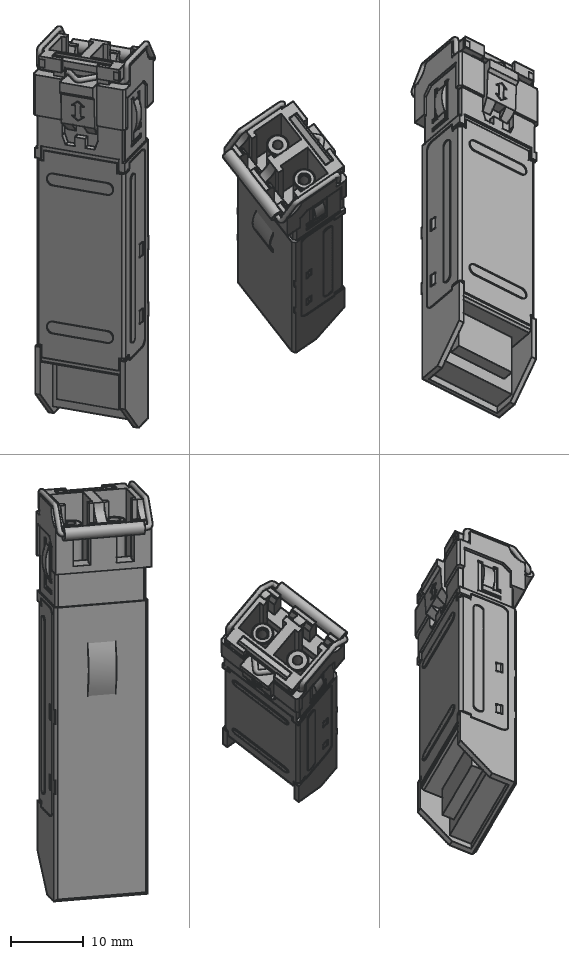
import cadquery as cq
import math


CAGE_HALF = 6.7
CAGE_BACK = 8.72
CAGE_TOP = 42.35
NECK_HALF = 6.5
NECK_FRONT = -0.12
NECK_BACK = 8.4
NECK_SIDE_FRONT = 0.56
NECK_FRONT_HALF = 6.32
HEAD_HALF = 6.85
HEAD_FRONT = -0.46
HEAD_BACK = 9.85
HEAD_BOTTOM = 47.5
HEAD_TOP = 56.6
EDGE_CHAMFER = 0.4

COVER_HALF = 6.6
COVER_BEND = 0.45
COVER_THICK = 0.2
COVER_TOP = 42.1
COVER_BOTTOM = 10.6
COVER_TONGUE_TOP = 5.45
COVER_TONGUE_BOTTOM = 5.76
BEND_TOP = 40.55
BEND_BOTTOM = 12.5
COVER_GAP = 0.35
FLAP_BACK = 7.32
FLAP_FRONT = 1.66
FLAP_TOP = 41.7
FLAP_BOTTOM = 11.7
FLAP_RADIUS = 1.1
RIB_HEIGHT = 0.15
CATCH_HEIGHTS = (16.5, 26.6)

RAIL_INNER = 5.92
PLUG_FLOOR = 4.5
PLUG_TOP = 10.2
PLUG_SLOPE = 0.55
PLUG_STEP_TOP = 1.2
PLUG_BACK_WALL = 7.8
NOSE_CUT_Y = 4.84
NOSE_CUT_Z = 4.95
BOARD_HALF = 4.6
BOARD_BOTTOM = 3.3
BOARD_FRONT = 2.75

PORT_X = 3.1
PORT_HALF = 2.35
PORT_NECK_HALF = 1.7
PORT_LATCH_HALF = 1.25
PORT_FRONT = 1.96
PORT_NECK = 6.57
PORT_BACK = 8.43
PORT_LEAD_IN = 0.55
PORT_FLOOR = 46.0
LATCH_FLOOR = 48.5
PORT_SHOULDER = 7.4
SCOOP_BACK = 9.2
SCOOP_FLOOR = 54.2
SCOOP_MIDDLE = (7.95, 55.15)
POST_Y = 4.25
POST_RADIUS = 1.53
POST_CHAMFER = 0.15
POST_TOP = 53.0

CHANNEL_HALF = 2.65
CHANNEL_FLOOR = 0.17
CHANNEL_TAPER_Z = 45.0
CHANNEL_BOTTOM = 43.65
CHANNEL_BOTTOM_HALF = 2.15
TONGUE_HALF = 0.78
TONGUE_TOP = 45.05
PRONG_POCKET_FLOOR = 0.8
SLIDER_HALF = 2.48
SLIDER_FRONT = -1.46
SLIDER_FACE = -1.0
SLIDER_FACE_LOW = -0.8
SLIDER_TOP = 53.65
SLIDER_STEP = 52.15
SLIDER_BOTTOM = 47.2
PRONG_BOTTOM = 45.7
PRONG_INNER = 0.85
PRONG_TAPER = 0.35
ARROW_DEPTH = 0.1
ARROW_Z = 49.45

GROOVE_BOTTOM = SLIDER_TOP
GROOVE_TOP = 54.66
GROOVE_DEPTH_Y = 0.3
BLOCK_HALF = 5.95
NOTCH_BACK = 1.47
NOTCH_INNER = 4.1
WIRE_RADIUS = 0.39
WIRE_TOP = 57.35
WIRE_X = 6.47
WIRE_LEG_Y = 1.0
WIRE_FRONT_Z = 54.2
WIRE_BEND_Y = 8.2
WIRE_BEND_RADIUS = 0.5
BAR_Y = 10.62
BAR_Z = 53.5
BAR_RADIUS = 0.92
BAR_LEFT = -5.45
BAR_RIGHT = 6.0
V_HALF = 2.0
V_TIP_Y = -1.05

ARM_PEAK = 7.01
ARM_BOTTOM = 45.4
ARM_TOP = 50.2
ARM_Y = (3.5, 5.15)
SLOT_DEPTH = 0.25

SPRING_Z = (29.1, 37.1)
SPRING_RISE = 0.65
SPRING_THICK = 0.15
SPRING_HALF = 2.0

FAR = 20.0
SIDES = (-1, 1)


def block(x, y, z):
    """Box between the (low, high) pairs in X, Y and Z."""
    size = [high - low for low, high in (x, y, z)]
    return cq.Workplane("XY").box(*size, centered=False).translate((x[0], y[0], z[0]))


def side_block(side, x, y, z):
    """Box whose X range is measured outwards from the centre plane on one side."""
    near, far = sorted((side * x[0], side * x[1]))
    return block((near, far), y, z)


def front_prism(points, y):
    """X-Z outline extruded between two Y values."""
    return cq.Workplane("XZ", origin=(0, y[0], 0)).polyline(points).close().extrude(y[0] - y[1])


def side_prism(points, x):
    """Y-Z outline extruded between two X values."""
    return cq.Workplane("YZ", origin=(x[0], 0, 0)).polyline(points).close().extrude(x[1] - x[0])


def mirrored(half):
    """Close a right-hand outline by its mirror image."""
    return half + [(-x, z) for x, z in reversed(half)]


def rod(start, end, radius):
    """Round rod between two points."""
    a, b = cq.Vector(*start), cq.Vector(*end)
    return cq.Workplane(cq.Solid.makeCylinder(radius, (b - a).Length, a, b - a))


def cage():
    body = block((-CAGE_HALF, CAGE_HALF), (COVER_THICK, CAGE_BACK), (0, CAGE_TOP))
    body = body.edges("|Z and >Y").chamfer(EDGE_CHAMFER)
    body = body.edges(">Y and <Z").chamfer(EDGE_CHAMFER)

    for side in SIDES:
        body = body.union(side_block(side, (RAIL_INNER, CAGE_HALF), (0, COVER_THICK),
                                     (0, BEND_BOTTOM - COVER_GAP)))
        body = body.union(side_block(side, (COVER_TONGUE_TOP + COVER_GAP, CAGE_HALF),
                                     (NECK_FRONT, COVER_THICK), (BEND_TOP + COVER_GAP, CAGE_TOP)))
    nose = [(-1, NOSE_CUT_Z + 1), (NOSE_CUT_Y + 1, -1), (-1, -1)]
    body = body.cut(side_prism(nose, (-FAR, FAR)))
    return cut_plug_end(body)


def cut_plug_end(body):
    plug_ceiling = PLUG_TOP - PLUG_SLOPE
    recess = [(-1, PLUG_STEP_TOP), (PLUG_FLOOR, PLUG_STEP_TOP), (PLUG_FLOOR, plug_ceiling),
              (PLUG_SLOPE, plug_ceiling), (0, PLUG_TOP), (-1, PLUG_TOP)]
    body = body.cut(side_prism(recess, (-RAIL_INNER, RAIL_INNER)))
    body = body.cut(block((-RAIL_INNER, RAIL_INNER), (-1, PLUG_BACK_WALL), (-1, PLUG_STEP_TOP)))
    return body.union(block((-BOARD_HALF, BOARD_HALF), (BOARD_FRONT, PLUG_FLOOR),
                            (BOARD_BOTTOM, plug_ceiling)))


def add_cover(body):
    outline = mirrored([
        (COVER_TONGUE_BOTTOM, COVER_BOTTOM), (COVER_TONGUE_BOTTOM, BEND_BOTTOM),
        (COVER_HALF, BEND_BOTTOM), (COVER_HALF, BEND_TOP),
        (COVER_TONGUE_TOP, BEND_TOP), (COVER_TONGUE_TOP, COVER_TOP)])
    body = body.union(front_prism(outline, (0, COVER_THICK)))

    for side in SIDES:
        flap = side_block(side, (COVER_HALF, FAR), (FLAP_FRONT, FLAP_BACK), (FLAP_BOTTOM, FLAP_TOP))
        flap = flap.edges("|X and >Y").fillet(FLAP_RADIUS)
        flap = flap.union(side_block(side, (COVER_HALF, FAR), (-1, FLAP_FRONT), (BEND_BOTTOM, BEND_TOP)))
        body = body.cut(flap)
        for z in (BEND_BOTTOM - COVER_GAP, BEND_TOP):
            gap = side_block(side, (COVER_HALF - COVER_THICK, FAR), (-1, FLAP_FRONT), (z, z + COVER_GAP))
            body = body.cut(gap)
        bend = cq.Workplane("XY", origin=(0, 0, BEND_BOTTOM)).polyline([
            (side * (COVER_HALF - COVER_BEND), 0), (side * CAGE_HALF, 0), (side * CAGE_HALF, COVER_BEND),
            (side * COVER_HALF, COVER_BEND)]).close().extrude(BEND_TOP - BEND_BOTTOM)
        body = body.cut(bend)
    return add_cover_details(body)


def add_cover_details(body):
    rib_length, rib_width, rib_heights = 9.85, 1.8, (15.5, 38.0)
    for z in rib_heights:
        rib = cq.Workplane("XZ", origin=(0, 0, z)).slot2D(rib_length, rib_width).extrude(RIB_HEIGHT)
        body = body.union(rib)
    side_rib_length, side_rib_width, side_rib_y, side_rib_z = 25.6, 1.5, 2.8, 26.7
    for side in SIDES:
        rib = (cq.Workplane("YZ", origin=(side * COVER_HALF, side_rib_y, side_rib_z))
               .slot2D(side_rib_length, side_rib_width, 90).extrude(side * RIB_HEIGHT))
        body = body.union(rib)
        for z in CATCH_HEIGHTS:
            body = add_catch(body, side, z)
    return body


def add_catch(body, side, z):
    """Window with a ramped catch in a side flap, and the hook behind it on the back corner."""
    half_height = 1.0
    window_front, ramp_back, catch_back = 5.5, 6.2, 6.5
    depth = 0.3
    z_range = (z - half_height, z + half_height)
    body = body.cut(side_block(side, (COVER_HALF - depth, FAR), (window_front, ramp_back), z_range))
    ramp = [(side * (COVER_HALF - depth), window_front), (side * CAGE_HALF, ramp_back),
            (side * CAGE_HALF, catch_back), (side * (COVER_HALF - depth), catch_back)]
    catch = cq.Workplane("XY", origin=(0, 0, z_range[0])).polyline(ramp).close().extrude(2 * half_height)
    body = body.union(catch)
    hook_y = (FLAP_BACK, CAGE_BACK - EDGE_CHAMFER / 2)
    return body.union(side_block(side, (COVER_HALF - depth, CAGE_HALF), hook_y, z_range))


def back_spring():
    """Bowed leaf spring on the back of the cage."""
    z_low, z_high = SPRING_Z
    z_mid = (z_low + z_high) / 2
    foot = 1.0
    base = CAGE_BACK - SPRING_THICK / 2
    outer = CAGE_BACK + SPRING_RISE
    inner = outer - SPRING_THICK
    return (cq.Workplane("YZ", origin=(-SPRING_HALF, 0, 0))
            .moveTo(base, z_low).threePointArc((outer, z_mid), (base, z_high))
            .lineTo(base, z_high - foot).threePointArc((inner, z_mid), (base, z_low + foot))
            .close().extrude(2 * SPRING_HALF))


def neck():
    z_range = (CAGE_TOP - 1, HEAD_BOTTOM + 1)
    body = block((-NECK_HALF, NECK_HALF), (NECK_SIDE_FRONT, NECK_BACK), z_range)
    body = body.edges("|Z and >Y").chamfer(EDGE_CHAMFER)
    body = body.union(block((-NECK_FRONT_HALF, NECK_FRONT_HALF), (COVER_THICK, NECK_SIDE_FRONT), z_range))
    front_bottom = COVER_TOP + 2 * COVER_GAP
    shoulder = COVER_TONGUE_TOP + COVER_GAP
    face = mirrored([(shoulder, front_bottom), (shoulder, CAGE_TOP), (NECK_FRONT_HALF, CAGE_TOP),
                     (NECK_FRONT_HALF, HEAD_BOTTOM + 1)])
    return body.union(front_prism(face, (NECK_FRONT, COVER_THICK)))


def head():
    front_chamfer = 0.35
    body = block((-HEAD_HALF, HEAD_HALF), (HEAD_FRONT, HEAD_BACK), (HEAD_BOTTOM, HEAD_TOP))
    body = body.edges("|Z and <Y").chamfer(front_chamfer)
    scoop = (cq.Workplane("YZ", origin=(-FAR, 0, 0)).moveTo(PORT_SHOULDER, HEAD_TOP)
             .threePointArc(SCOOP_MIDDLE, (SCOOP_BACK, SCOOP_FLOOR)).lineTo(FAR, SCOOP_FLOOR)
             .lineTo(FAR, HEAD_TOP).close().extrude(2 * FAR))
    body = body.cut(scoop)

    window_back, window_top, window_corner = 7.7, 52.1, 1.2
    window = [(NECK_SIDE_FRONT, HEAD_BOTTOM), (window_back, HEAD_BOTTOM),
              (window_back, window_top - window_corner), (window_back - window_corner, window_top),
              (NECK_SIDE_FRONT, window_top)]
    for side in SIDES:
        body = body.cut(side_prism(window, (side * NECK_HALF, side * FAR)))
    return body


def cut_wire_groove(body):
    pocket_depth, pocket_y, pocket_z = 0.8, (-0.35, 0.08), (54.9, 56.1)
    body = body.cut(block((-FAR, FAR), (-FAR, GROOVE_DEPTH_Y), (GROOVE_BOTTOM, GROOVE_TOP)))
    for side in SIDES:
        body = body.cut(side_block(side, (NOTCH_INNER, FAR), (-FAR, NOTCH_BACK), (GROOVE_BOTTOM, GROOVE_TOP)))
        body = body.cut(side_block(side, (BLOCK_HALF, FAR), (-FAR, NOTCH_BACK), (GROOVE_BOTTOM, HEAD_TOP)))
        body = body.cut(side_block(side, (BLOCK_HALF - pocket_depth, FAR), pocket_y, pocket_z))
    return body


def cut_port(body, side):
    x = side * PORT_X

    def pocket(half, y, floor):
        return block((x - half, x + half), y, (floor, FAR + HEAD_TOP))

    body = body.cut(pocket(PORT_HALF, (PORT_FRONT, PORT_NECK), PORT_FLOOR))
    body = body.cut(pocket(PORT_NECK_HALF, (PORT_NECK, PORT_SHOULDER), PORT_FLOOR))
    body = body.cut(pocket(PORT_HALF, (PORT_SHOULDER, PORT_BACK), LATCH_FLOOR))
    body = body.cut(pocket(PORT_LATCH_HALF, (PORT_BACK, FAR), LATCH_FLOOR))
    bevel_bottom = 53.2
    bevel_back = PORT_BACK + PORT_LEAD_IN
    bevel = [(PORT_BACK, bevel_bottom), (bevel_back, SCOOP_FLOOR), (bevel_back, HEAD_TOP),
             (PORT_BACK, HEAD_TOP)]
    body = body.cut(side_prism(bevel, (x - PORT_HALF, x + PORT_HALF)))

    post = (cq.Workplane("XY", origin=(x, POST_Y, PORT_FLOOR)).circle(POST_RADIUS)
            .extrude(POST_TOP - PORT_FLOOR).faces(">Z").chamfer(POST_CHAMFER))
    bore_radius, counterbore_radius, counterbore_depth = 0.66, 0.86, 0.5
    post = post.faces(">Z").workplane().hole(2 * bore_radius, POST_TOP - PORT_FLOOR)
    if side < 0:
        counterbore_floor = POST_TOP - counterbore_depth
        counterbore = rod((x, POST_Y, counterbore_floor), (x, POST_Y, POST_TOP), counterbore_radius)
        post = post.cut(counterbore)
    return body.union(post)


def cut_top_slot(body):
    """Slot behind the front edge of the top, with a ridged floor."""
    half, back, ridge, ridge_drop, ridge_clearance = 4.27, 1.46, 0.55, 0.4, 0.02
    ridge_top = HEAD_TOP - ridge_clearance
    slot = [(CHANNEL_FLOOR, HEAD_TOP + 1), (CHANNEL_FLOOR, HEAD_TOP - ridge_drop), (ridge, ridge_top),
            (back, HEAD_TOP - ridge_drop), (back, HEAD_TOP + 1)]
    return body.cut(side_prism(slot, (-half, half)))


def cut_channel(body):
    lower = [(TONGUE_HALF, TONGUE_TOP), (TONGUE_HALF, CHANNEL_BOTTOM),
             (CHANNEL_BOTTOM_HALF, CHANNEL_BOTTOM), (CHANNEL_HALF, CHANNEL_TAPER_Z)]
    channel = mirrored(lower + [(CHANNEL_HALF, HEAD_TOP + 1)])
    body = body.cut(front_prism(channel, (-FAR, CHANNEL_FLOOR)))
    prong_pocket = mirrored(lower + [(CHANNEL_HALF, SLIDER_BOTTOM)])
    body = body.cut(front_prism(prong_pocket, (-FAR, PRONG_POCKET_FLOOR)))
    pocket_half, pocket_back, pocket_top = 2.4, 1.6, 55.15
    return body.cut(block((-pocket_half, pocket_half), (-FAR, pocket_back), (GROOVE_BOTTOM, pocket_top)))


def slider():
    prong_back = 0.57
    step = SLIDER_FACE - SLIDER_FRONT
    profile = [(prong_back, SLIDER_TOP), (SLIDER_FRONT, SLIDER_TOP), (SLIDER_FRONT, SLIDER_STEP),
               (SLIDER_FACE, SLIDER_STEP - step), (SLIDER_FACE_LOW, SLIDER_BOTTOM),
               (prong_back, PRONG_BOTTOM)]
    plate = side_prism(profile, (-SLIDER_HALF, SLIDER_HALF))
    tapered_half = SLIDER_HALF - PRONG_TAPER
    outline = mirrored([(PRONG_INNER, SLIDER_BOTTOM), (PRONG_INNER, PRONG_BOTTOM),
                        (tapered_half, PRONG_BOTTOM), (SLIDER_HALF, SLIDER_BOTTOM),
                        (SLIDER_HALF, SLIDER_TOP)])
    return plate.intersect(front_prism(outline, (-FAR, FAR))).cut(arrow())


def arrow():
    """Shallow double-headed arrow in the slider's face."""
    tip, head_base, head_half, shaft_half = 1.5, 0.8, 0.9, 0.4
    right = [(0, -tip), (head_half, -head_base), (shaft_half, -head_base), (shaft_half, head_base),
             (head_half, head_base), (0, tip)]
    left = [(-x, z) for x, z in reversed(right[1:-1])]
    slope = math.degrees(math.atan2(SLIDER_FACE_LOW - SLIDER_FACE, SLIDER_STEP - SLIDER_BOTTOM))
    shape = front_prism(right + left, (-1, ARROW_DEPTH)).rotate((0, 0, 0), (1, 0, 0), slope)
    return shape.translate((0, (SLIDER_FACE + SLIDER_FACE_LOW) / 2, ARROW_Z))


def add_latch_arm(body, side):
    """Curved latch arm between two L-shaped slots in the side of the neck."""
    slot_x = (NECK_HALF - SLOT_DEPTH, FAR)
    slot_top, foot_back, foot_height = 50.8, 6.3, 0.55
    back_slot, back_slot_bottom = (5.2, 5.8), 45.2
    front_slot, front_slot_bottom = (2.8, ARM_Y[0]), 43.6
    for slot, bottom in ((back_slot, back_slot_bottom), (front_slot, front_slot_bottom)):
        body = body.cut(side_block(side, slot_x, slot, (bottom, slot_top)))
        foot = (slot[1], foot_back)
        body = body.cut(side_block(side, slot_x, foot, (bottom, bottom + foot_height)))
    z_mid = (ARM_BOTTOM + ARM_TOP) / 2
    arm = (cq.Workplane("XZ", origin=(0, ARM_Y[1], 0)).moveTo(side * (NECK_HALF - SLOT_DEPTH), ARM_BOTTOM)
           .lineTo(side * NECK_HALF, ARM_BOTTOM)
           .threePointArc((side * ARM_PEAK, z_mid), (side * NECK_HALF, ARM_TOP))
           .lineTo(side * (NECK_HALF - SLOT_DEPTH), ARM_TOP).close().extrude(ARM_Y[1] - ARM_Y[0]))
    return body.union(arm)


def rounded_path(points, radius):
    """Wire through 3D points, with a tangent arc of the given radius at every corner."""
    corners = [cq.Vector(*point) for point in points]
    edges = []
    start = corners[0]
    for before, corner, after in zip(corners, corners[1:], corners[2:]):
        arm_in = (before - corner).normalized()
        arm_out = (after - corner).normalized()
        half_angle = arm_in.getAngle(arm_out) / 2
        trim = radius / math.tan(half_angle)
        rise = radius / math.sin(half_angle) - radius
        arc_start = corner + arm_in * trim
        arc_end = corner + arm_out * trim
        arc_middle = corner + (arm_in + arm_out).normalized() * rise
        edges.append(cq.Edge.makeLine(start, arc_start))
        edges.append(cq.Edge.makeThreePointArc(arc_start, arc_middle, arc_end))
        start = arc_end
    edges.append(cq.Edge.makeLine(start, corners[-1]))
    return cq.Wire.assembleEdges(edges)


def bail():
    """Bent wire loop that starts and ends inside the pull bar."""
    wire_z = WIRE_TOP - WIRE_RADIUS
    gap_half = 1.0
    left = [(-gap_half, BAR_Y, BAR_Z), (-WIRE_X, BAR_Y, BAR_Z), (-WIRE_X, WIRE_BEND_Y, wire_z),
            (-WIRE_X, WIRE_LEG_Y, wire_z), (-WIRE_X, WIRE_LEG_Y, WIRE_FRONT_Z),
            (-V_HALF, WIRE_LEG_Y, WIRE_FRONT_Z)]
    right = [(-x, y, z) for x, y, z in reversed(left)]
    path = rounded_path(left + [(0, V_TIP_Y, WIRE_FRONT_Z)] + right, WIRE_BEND_RADIUS)
    wire = cq.Workplane("YZ", origin=left[0]).circle(WIRE_RADIUS).sweep(cq.Workplane(path))
    return rod((BAR_LEFT, BAR_Y, BAR_Z), (BAR_RIGHT, BAR_Y, BAR_Z), BAR_RADIUS).union(wire)


module = add_cover(cage()).union(back_spring())
module = module.union(neck()).union(head())
module = cut_wire_groove(module)
module = cut_top_slot(module)
module = cut_channel(module)
for port_side in SIDES:
    module = cut_port(module, port_side)
    module = add_latch_arm(module, port_side)
result = module.union(slider()).union(bail())